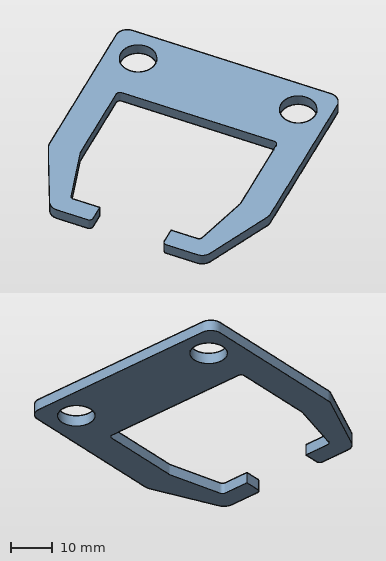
import cadquery as cq

width = 58.0
length = 62.0
thickness = 3.0
half_width = width / 2
top_y = length / 2
bottom_y = -length / 2

bridge_depth = 20.0
side_width = 8.0
jaw_depth = 4.95
jaw_gap = 18.65
outer_bend_y = top_y - 43.2
inner_bend_y = top_y - 42.3
outer_toe_x = 20.3
inner_toe_x = 17.0

outer_radius = 3.0
inner_radius = 1.0

hole_diameter = 9.0
hole_inset = side_width

opening_half_width = half_width - side_width
opening_top_y = top_y - bridge_depth
jaw_top_y = bottom_y + jaw_depth
jaw_tip_x = jaw_gap / 2

outer_corners = [
    (outer_toe_x, bottom_y),
    (half_width, outer_bend_y),
    (half_width, top_y),
]
jaw_bottom_corner = (jaw_tip_x, bottom_y)
jaw_top_corner = (jaw_tip_x, jaw_top_y)
inner_toe = (inner_toe_x, jaw_top_y)
inner_bend = (opening_half_width, inner_bend_y)
opening_corner = (opening_half_width, opening_top_y)


def mirror_x(point):
    return (-point[0], point[1])


def fillet_corners(body, corners, radius):
    """Round the vertical edges at the given corners and their mirror images."""
    for corner in corners:
        for x, y in (corner, mirror_x(corner)):
            body = body.edges(cq.selectors.NearestToPointSelector((x, y, thickness / 2))).fillet(radius)
    return body


right_half = [
    opening_corner,
    inner_bend,
    inner_toe,
    jaw_top_corner,
    jaw_bottom_corner,
    *outer_corners,
]
left_half = [mirror_x(point) for point in reversed(right_half)]
plate = cq.Workplane("XY").polyline(right_half + left_half).close().extrude(thickness)

plate = fillet_corners(plate, outer_corners, outer_radius)
plate = fillet_corners(plate, [jaw_bottom_corner, inner_toe, opening_corner], inner_radius)

hole_x = half_width - hole_inset
hole_y = top_y - hole_inset
holes = (
    cq.Workplane("XY")
    .pushPoints([(-hole_x, hole_y), (hole_x, hole_y)])
    .circle(hole_diameter / 2)
    .extrude(thickness)
)
result = plate.cut(holes)